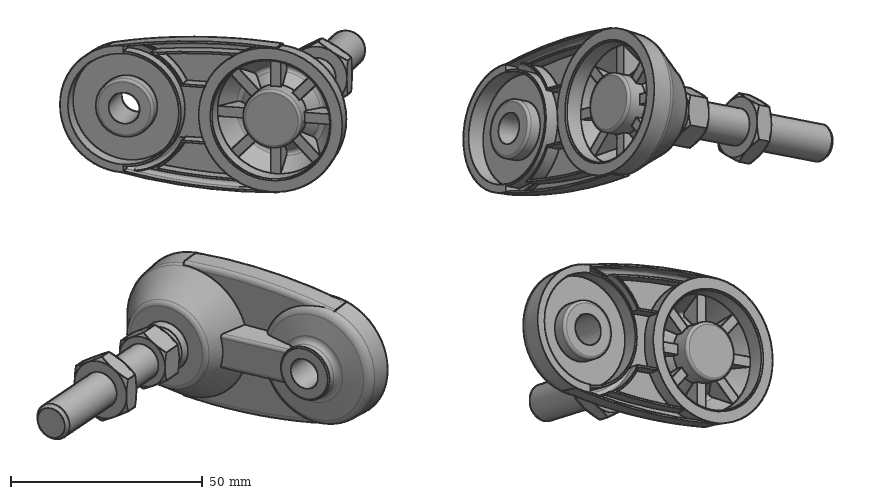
import cadquery as cq
import math


PAD_X = -40.0
CUP_BASE_R = 19.5
CUP_TOP_Y = 17.9
CUP_BORE_R = 32.0 / 2
CUP_LIP_CHAMFER = 0.4
PAD_BASE_R = 17.2
PAD_NECK_R = 15.0 / 2
PAD_TOP_Y = 13.65
PAD_TOP_CHAMFER = 0.4
PAD_RECESS_R = 30.0 / 2
BOLT_HOLE_R = 8.35 / 2
RECESS_Y = 5.0
BOSS_R = 7.9
BOSS_Y = 1.0
BOSS_ROOT_Y = 6.9
BOSS_ROUND = 0.8
SPOKE_COUNT = 8
SPOKE_WIDTH = 2.75

ARM_BASE_Y = 0.45
ARM_TOP_Y = 7.05
ARM_ROUND = 1.5
ARM_DRAFT = 2
ARM_PEAK_X = -10.7
ARM_PEAK_Z = 20.1
ARM_CURVE_R = 163.4
ARM_START_X = -44.65
ARM_END_X = 1.5
FLOOR_Y = 4.45
LIP = 0.5
GROOVE_ROUND = 1.2
PAD_WALL_R = 15.6
RIB_INSET = 2.8
RIB_R = 17.4
RIB_Z = 7.4
RIB_THICKNESS = 0.5
BRIDGE_START_X = -35.3
BRIDGE_END_X = -11.5
BRIDGE_TOP_Y = 13.0
BRIDGE_BASE_HALF = 6.45
BRIDGE_TOP_HALF = 4.75
BRIDGE_ROUND = 1.0
BRIDGE_RISE = 2.6

ROD_R = 10.0 / 2
ROD_END_Y = 74.6
ROD_CHAMFER_Y = 1.1
ROD_END_R = 8.35 / 2
FLARE_R = 6.8
FLARE_TOP_Y = 19.6
NECK_R = 12.0 / 2
HEX_START_Y = 22.55
HEX_END_Y = 29.5
HEX_FLATS = 14.0
NUT_START_Y = 45.25
NUT_HEIGHT = 5.0
NUT_FLATS = 16.0
HEX_CHAMFER_ANGLE = 30

OVERRUN = 0.8
REACH = 76.7


def revolve_about_y(profile, axis_x=0.0):
    """Full turn of a closed radius-height profile around a vertical axis at axis_x."""
    return profile.close().revolve(360, (0, 0, 0), (0, 1, 0)).translate((axis_x, 0, 0))


def profile_start(radius, height):
    return cq.Workplane("XY").moveTo(radius, height)


def plan_at(height):
    """Horizontal workplane that extrudes up. Local x is X and local y is -Z."""
    return cq.Workplane(cq.Plane(origin=(0, height, 0), xDir=(1, 0, 0), normal=(0, 1, 0)))


def drum(radius, axis_x, bottom, top):
    return plan_at(bottom).center(axis_x, 0).circle(radius).extrude(top - bottom)


def block(x_range, y_range, z_half):
    (x_low, x_high), (y_low, y_high) = x_range, y_range
    return cq.Workplane("XY").box(
        x_high - x_low, y_high - y_low, 2 * z_half, centered=(False, False, True)
    ).translate((x_low, y_low, 0))


def arm_outline(height, inset=0.0, start_x=ARM_START_X):
    """Plan of both arms, two long arcs set in from the outer faces, closed by straight ends."""
    radius = ARM_CURVE_R - inset
    centre_z = ARM_PEAK_Z - ARM_CURVE_R

    def half_width(x):
        return centre_z + math.sqrt(radius**2 - (x - ARM_PEAK_X) ** 2)

    start_z = half_width(start_x)
    end_z = half_width(ARM_END_X)
    peak_z = half_width(ARM_PEAK_X)
    return (
        plan_at(height)
        .moveTo(start_x, start_z)
        .threePointArc((ARM_PEAK_X, peak_z), (ARM_END_X, end_z))
        .lineTo(ARM_END_X, -end_z)
        .threePointArc((ARM_PEAK_X, -peak_z), (start_x, -start_z))
        .close()
    )


def make_cup_outside():
    return revolve_about_y(
        profile_start(0, 0)
        .lineTo(CUP_BASE_R, 0)
        .lineTo(18.95, 6.05)
        .lineTo(18.55, 7.2)
        .lineTo(12.6, 16.8)
        .threePointArc((12.1, 17.5), (11.2, CUP_TOP_Y))
        .lineTo(0, CUP_TOP_Y)
    )


def make_pad_outside():
    return revolve_about_y(
        profile_start(0, 0)
        .lineTo(PAD_BASE_R, 0)
        .lineTo(16.8, 6.0)
        .threePointArc((16.3, 7.5), (14.95, 8.6))
        .lineTo(9.35, 10.0)
        .threePointArc((8.05, 10.4), (PAD_NECK_R, 11.4))
        .lineTo(PAD_NECK_R, PAD_TOP_Y - PAD_TOP_CHAMFER)
        .lineTo(PAD_NECK_R - PAD_TOP_CHAMFER, PAD_TOP_Y)
        .lineTo(0, PAD_TOP_Y),
        PAD_X,
    )


def make_arms():
    """Slab with slightly drafted outer faces and rounded upper edges."""
    draft_inset = (ARM_TOP_Y - ARM_BASE_Y) * math.tan(math.radians(ARM_DRAFT))
    base = arm_outline(ARM_BASE_Y).val()
    top = arm_outline(ARM_TOP_Y, draft_inset).val()
    slab = cq.Workplane(obj=cq.Solid.makeLoft([base, top], True))
    return slab.faces(">Y").edges("not |Z").fillet(ARM_ROUND)


def make_bridge():
    """Tapered beam with rounded top edges, rising gently from the pad to the cup."""
    base_y = FLOOR_Y + OVERRUN
    beam = (
        cq.Workplane("YZ", origin=(BRIDGE_START_X, 0, 0))
        .polyline([
            (base_y, -BRIDGE_BASE_HALF),
            (BRIDGE_TOP_Y, -BRIDGE_TOP_HALF),
            (BRIDGE_TOP_Y, BRIDGE_TOP_HALF),
            (base_y, BRIDGE_BASE_HALF),
        ])
        .close()
        .extrude(BRIDGE_END_X - BRIDGE_START_X)
        .faces(">Y").edges("|X").fillet(BRIDGE_ROUND)
    )
    pivot = ((BRIDGE_START_X + BRIDGE_END_X) / 2, BRIDGE_TOP_Y)
    return beam.rotate((*pivot, 0), (*pivot, 1), BRIDGE_RISE)


def make_boss(axis_x):
    return drum(BOSS_R, axis_x, BOSS_Y, BOSS_ROOT_Y + OVERRUN).faces("<Y").edges().fillet(BOSS_ROUND)


def make_pad_recess():
    return drum(PAD_RECESS_R, PAD_X, -OVERRUN, RECESS_Y).cut(make_boss(PAD_X))


def make_cup_hollow():
    """Bore with a conical roof and a rounded valley around the boss, crossed by radial spokes."""
    bore = revolve_about_y(
        profile_start(0, -OVERRUN)
        .lineTo(CUP_BORE_R + CUP_LIP_CHAMFER, -OVERRUN)
        .lineTo(CUP_BORE_R + CUP_LIP_CHAMFER, 0)
        .lineTo(CUP_BORE_R, CUP_LIP_CHAMFER)
        .lineTo(15.8, RECESS_Y)
        .lineTo(12.3, 10.5)
        .threePointArc((11.4, 11.0), (10.65, 10.4))
        .lineTo(BOSS_R, BOSS_ROOT_Y)
        .lineTo(0, BOSS_ROOT_Y)
    )
    hollow = bore.cut(make_boss(0))
    for index in range(SPOKE_COUNT // 2):
        bar = block((-CUP_BORE_R, CUP_BORE_R), (RECESS_Y, CUP_TOP_Y), SPOKE_WIDTH / 2)
        hollow = hollow.cut(bar.rotate((0, 0, 0), (0, 1, 0), index * 360 / SPOKE_COUNT))
    return hollow


def make_rib_field(inset):
    """Pair of wedge areas between pad, cup and bridge, shrunk by inset on the three ribbed sides."""
    bottom = -OVERRUN
    top = FLOOR_Y + OVERRUN
    field = arm_outline(bottom, RIB_INSET + inset, PAD_X).extrude(top - bottom)
    field = field.cut(drum(RIB_R + inset, PAD_X, bottom - OVERRUN, top + OVERRUN))
    return field.cut(block((-REACH, REACH), (bottom - OVERRUN, top + OVERRUN), RIB_Z + inset))


def make_groove_round():
    """Rounding of the groove roof where it meets the curved ribs."""
    top_y = FLOOR_Y + OVERRUN
    overlap = RIB_THICKNESS / 2
    bend = GROOVE_ROUND * (1 - math.sqrt(0.5))
    ring = revolve_about_y(
        profile_start(RIB_R - GROOVE_ROUND, top_y)
        .lineTo(RIB_R - GROOVE_ROUND, FLOOR_Y)
        .threePointArc((RIB_R - bend, FLOOR_Y - bend), (RIB_R, FLOOR_Y - GROOVE_ROUND))
        .lineTo(RIB_R + overlap, FLOOR_Y - GROOVE_ROUND)
        .lineTo(RIB_R + overlap, top_y),
        PAD_X,
    )
    return ring.cut(block((-REACH, REACH), (-OVERRUN, top_y + OVERRUN), RIB_Z + overlap))


def make_arm_hollow():
    """Grooves and pockets under the arms; the ribs and the pad wall are left standing."""
    hollow = arm_outline(-OVERRUN, LIP, PAD_X).extrude(FLOOR_Y + OVERRUN)
    hollow = hollow.faces(">Y").edges("%CIRCLE").fillet(GROOVE_ROUND)
    hollow = hollow.cut(drum(PAD_WALL_R, PAD_X, -2 * OVERRUN, FLOOR_Y + OVERRUN))
    ribs = make_rib_field(0).cut(make_rib_field(RIB_THICKNESS))
    return hollow.cut(ribs).cut(make_groove_round())


def make_foot():
    foot = make_pad_outside().union(make_arms()).union(make_bridge())
    foot = foot.cut(make_arm_hollow())
    foot = foot.cut(block((PAD_X, 0), (-OVERRUN, ARM_BASE_Y), REACH))
    foot = foot.union(make_cup_outside())
    foot = foot.cut(make_pad_recess()).cut(make_cup_hollow())
    return foot.cut(drum(BOLT_HOLE_R, PAD_X, -OVERRUN, PAD_TOP_Y + OVERRUN))


def make_hex(flats, start_y, height):
    """Hexagon with corners along Z, its corners chamfered at both ends."""
    corner_r = flats / math.sqrt(3)
    drop = (corner_r - flats / 2) * math.tan(math.radians(HEX_CHAMFER_ANGLE))
    prism = plan_at(start_y).polygon(6, 2 * corner_r).extrude(height).rotate((0, 0, 0), (0, 1, 0), 30)
    envelope = revolve_about_y(
        profile_start(0, start_y)
        .lineTo(flats / 2, start_y)
        .lineTo(corner_r, start_y + drop)
        .lineTo(corner_r, start_y + height - drop)
        .lineTo(flats / 2, start_y + height)
        .lineTo(0, start_y + height)
    )
    return prism.intersect(envelope)


def make_stud():
    shaft = revolve_about_y(
        profile_start(0, CUP_TOP_Y)
        .lineTo(FLARE_R, CUP_TOP_Y)
        .lineTo(NECK_R, FLARE_TOP_Y)
        .lineTo(NECK_R, HEX_START_Y)
        .lineTo(ROD_R, HEX_START_Y)
        .lineTo(ROD_R, ROD_END_Y - ROD_CHAMFER_Y)
        .lineTo(ROD_END_R, ROD_END_Y)
        .lineTo(0, ROD_END_Y)
    )
    return shaft.union(make_hex(HEX_FLATS, HEX_START_Y, HEX_END_Y - HEX_START_Y))


def make_lock_nut():
    bore = drum(ROD_R, 0, NUT_START_Y - OVERRUN, NUT_START_Y + NUT_HEIGHT + OVERRUN)
    return make_hex(NUT_FLATS, NUT_START_Y, NUT_HEIGHT).cut(bore)


foot = make_foot()
stud = make_stud()
lock_nut = make_lock_nut()
result = cq.Compound.makeCompound([foot.val(), stud.val(), lock_nut.val()])